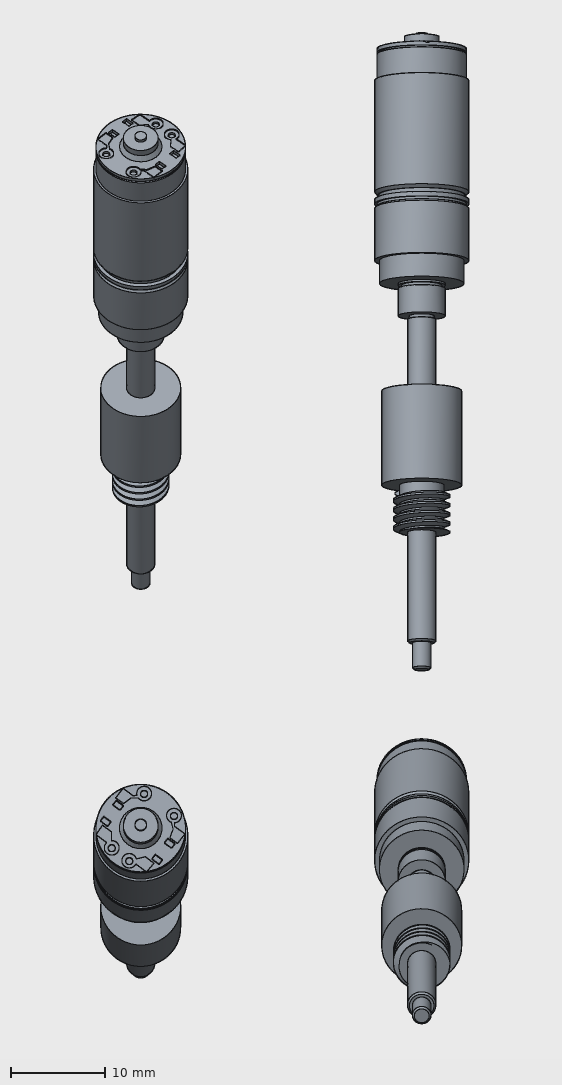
import cadquery as cq


MOTOR_D = 10.0
MOTOR_GROOVE_D = 9.1
END_CAP_D = 9.5
GEARBOX_NOSE_D = 9.0
COLLAR_D = 5.0
COLLAR_GROOVE_D = 4.3
SHAFT_D = 3.0
SHAFT_NECK_D = 2.7
SHAFT_TIP_D = 2.0
SLEEVE_D = 8.5
THREAD_ROOT_D = 4.7
THREAD_CREST_D = 6.0
HUB_D = 3.7
HUB_BASE_D = 4.5
PIN_D = 1.2

HUB_FACETS = 24

TIP_TOP = 2.9
THREAD_BOTTOM = 14.8
SLEEVE_BOTTOM = 19.9
SLEEVE_TOP = 30.0
SHAFT_TOP = 37.8
COLLAR_BOTTOM = 38.1
COLLAR_TOP = 41.05
COLLAR_LIP_BOTTOM = 41.4
NOSE_BOTTOM = 41.6
GEARBOX_BOTTOM = 44.1
GEARBOX_TOP = 49.9
RING_BOTTOM = 50.2
RING_TOP = 50.65
MOTOR_BOTTOM = 51.15
MOTOR_TOP = 63.5
CAP_GROOVE_BOTTOM = 66.3
CAP_GROOVE_TOP = 66.5
CAP_TOP = 66.9
HUB_BASE_TOP = 67.45
HUB_TOP = 68.2
PIN_TOP = 68.55

SHAFT_CHAMFER = 0.2
MOTOR_CHAMFER = 0.35
GEARBOX_CHAMFER = 0.2

THREAD_TURNS = 4.5
THREAD_NECK = 0.6
THREAD_TOP = SLEEVE_BOTTOM - THREAD_NECK
THREAD_PITCH = (THREAD_TOP - THREAD_BOTTOM) / THREAD_TURNS
CREST_FLAT = 0.2
ROOT_FLAT = 0.15
THREAD_LEAD = 0.35
THREAD_OVERLAP = 0.1

TERMINAL_DEPTH = 0.15
TERMINAL_HOLE_DEPTH = 0.4
PAD_D = 1.6
PAD_HOLE_D = 0.75
SLOT_LENGTH = 0.95
SLOT_WIDTH = 0.6
BACK_PAD = (-1.15, 3.55)
BACK_SLOT = (-3.4, 1.65)
BACK_ARM = [BACK_PAD, (-1.15, 3.4), (-3.35, 3.4), (-3.4, 2.2), (-2.25, 2.2), (-1.65, 2.95)]
FRONT_PAD = (-2.0, -3.2)
FRONT_SLOT = (-3.4, -0.55)
FRONT_ARM = [FRONT_PAD, (-2.75, -2.3), (-4.1, -2.3), (-4.1, -1.0), (-3.1, -1.0), (-2.8, -2.0), (-2.2, -2.5)]


def cylinder(diameter, bottom, top):
    return cq.Workplane("XY").workplane(offset=bottom).circle(diameter / 2).extrude(top - bottom)


def join(bodies):
    joined = bodies[0]
    for body in bodies[1:]:
        joined = joined.union(body)
    return joined


def make_shaft():
    tip = cylinder(SHAFT_TIP_D, 0, TIP_TOP).faces("<Z").chamfer(SHAFT_CHAMFER)
    rod = cylinder(SHAFT_D, TIP_TOP, SHAFT_TOP).faces("<Z").chamfer(SHAFT_CHAMFER)
    neck = cylinder(SHAFT_NECK_D, SHAFT_TOP, COLLAR_BOTTOM)
    return join([tip, rod, neck])


def make_gearbox():
    return join([
        cylinder(COLLAR_D, COLLAR_BOTTOM, COLLAR_TOP),
        cylinder(COLLAR_GROOVE_D, COLLAR_TOP, COLLAR_LIP_BOTTOM),
        cylinder(COLLAR_D, COLLAR_LIP_BOTTOM, NOSE_BOTTOM),
        cylinder(GEARBOX_NOSE_D, NOSE_BOTTOM, GEARBOX_BOTTOM),
        cylinder(MOTOR_D, GEARBOX_BOTTOM, GEARBOX_TOP).faces(">Z").chamfer(GEARBOX_CHAMFER),
        cylinder(END_CAP_D, GEARBOX_TOP, RING_BOTTOM),
        cylinder(MOTOR_D, RING_BOTTOM, RING_TOP),
    ])


def make_motor():
    return join([
        cylinder(MOTOR_GROOVE_D, RING_TOP, MOTOR_BOTTOM),
        cylinder(MOTOR_D, MOTOR_BOTTOM, MOTOR_TOP).faces("<Z").chamfer(MOTOR_CHAMFER),
        cylinder(END_CAP_D, MOTOR_TOP, CAP_GROOVE_BOTTOM),
        cylinder(MOTOR_GROOVE_D, CAP_GROOVE_BOTTOM, CAP_GROOVE_TOP),
        cylinder(END_CAP_D, CAP_GROOVE_TOP, CAP_TOP),
    ])


def make_hub():
    base = (
        cq.Workplane("XY")
        .workplane(offset=CAP_TOP)
        .polygon(HUB_FACETS, HUB_BASE_D)
        .workplane(offset=HUB_BASE_TOP - CAP_TOP)
        .polygon(HUB_FACETS, HUB_D)
        .loft(ruled=True)
    )
    core = cylinder(HUB_D, CAP_TOP, HUB_TOP)
    pin = cylinder(PIN_D, HUB_TOP, PIN_TOP)
    return join([base, core, pin])


def make_terminal_recess(pad, arm, slot):
    top = cq.Workplane("XY").workplane(offset=CAP_TOP)
    recess = top.polyline(arm).close().extrude(-TERMINAL_DEPTH)
    recess = recess.union(top.center(*pad).circle(PAD_D / 2).extrude(-TERMINAL_DEPTH))
    recess = recess.union(top.center(*pad).circle(PAD_HOLE_D / 2).extrude(-TERMINAL_HOLE_DEPTH))
    recess = recess.union(top.center(*slot).rect(SLOT_LENGTH, SLOT_WIDTH).extrude(-TERMINAL_HOLE_DEPTH))
    return recess.union(recess.mirror("YZ"))


def make_thread():
    """Right-handed thread, cut flat at the bottom and ending at a plain neck."""
    root = THREAD_ROOT_D / 2
    crest = THREAD_CREST_D / 2
    half_root = (THREAD_PITCH - ROOT_FLAT) / 2
    start = THREAD_BOTTOM + THREAD_LEAD - THREAD_PITCH
    height = THREAD_TOP - start - CREST_FLAT / 2
    helix = cq.Wire.makeHelix(THREAD_PITCH, height, root).translate(cq.Vector(0, 0, start))
    tooth = cq.Workplane("XZ").polyline([
        (root - THREAD_OVERLAP, start - half_root),
        (crest, start - CREST_FLAT / 2),
        (crest, start + CREST_FLAT / 2),
        (root - THREAD_OVERLAP, start + half_root),
    ]).close()
    ridge = tooth.sweep(cq.Workplane(helix), isFrenet=True)
    ridge = ridge.cut(cylinder(2 * THREAD_CREST_D, start - THREAD_PITCH, THREAD_BOTTOM))
    core = cylinder(THREAD_ROOT_D, THREAD_BOTTOM, SLEEVE_BOTTOM)
    return core.union(ridge)


sleeve = cylinder(SLEEVE_D, SLEEVE_BOTTOM, SLEEVE_TOP)
result = join([make_shaft(), make_thread(), sleeve, make_gearbox(), make_motor()])
result = result.cut(make_terminal_recess(BACK_PAD, BACK_ARM, BACK_SLOT))
result = result.cut(make_terminal_recess(FRONT_PAD, FRONT_ARM, FRONT_SLOT))
result = result.union(make_hub())